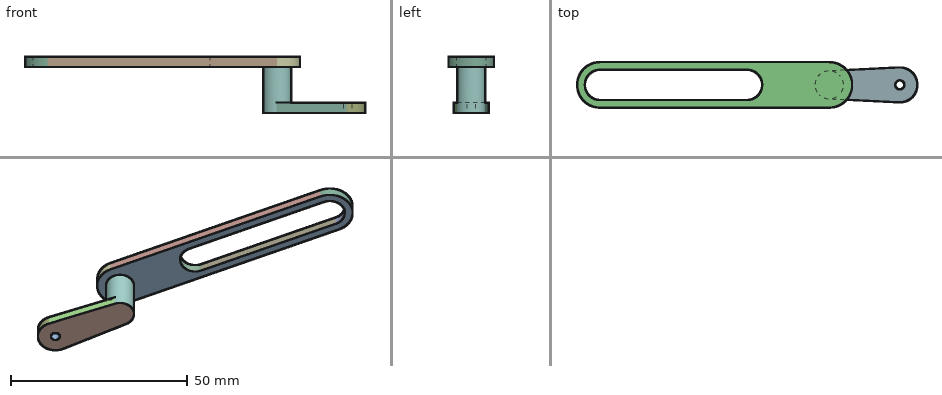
import cadquery as cq
import math

total_height = 16.0
plate_thickness = 3.0
arm_thickness = 3.0

plate_width = 13.0
plate_center_distance = 65.0

slot_width = 8.5
slot_rim = (plate_width - slot_width) / 2
slot_length = 50.2

shaft_diameter = 8.0

arm_center_distance = 20.0
arm_tip_radius = 5.0
arm_hole_diameter = 2.5

plate_bottom = total_height - plate_thickness


def make_plate():
    """Round-ended plate with a round-ended slot near its far end."""
    plate_length = plate_center_distance + plate_width
    plate_center = -plate_center_distance / 2
    slot_center = plate_center - plate_length / 2 + slot_rim + slot_length / 2
    plate_plane = cq.Workplane("XY").workplane(offset=plate_bottom)
    plate = plate_plane.center(plate_center, 0).slot2D(plate_length, plate_width).extrude(plate_thickness)
    slot = plate_plane.center(slot_center, 0).slot2D(slot_length, slot_width).extrude(plate_thickness)
    return plate.cut(slot)


def make_shaft():
    """Cylinder from the arm's underside up to the plate."""
    return cq.Workplane("XY").circle(shaft_diameter / 2).extrude(plate_bottom)


def make_arm():
    """Arm whose straight sides are tangent to both the shaft and the rounded tip."""
    shaft_radius = shaft_diameter / 2
    taper = math.asin((arm_tip_radius - shaft_radius) / arm_center_distance)
    normal_x = -math.sin(taper)
    normal_y = math.cos(taper)
    root_x = shaft_radius * normal_x
    root_y = shaft_radius * normal_y
    tip_x = arm_center_distance + arm_tip_radius * normal_x
    tip_y = arm_tip_radius * normal_y
    body = (
        cq.Workplane("XY")
        .moveTo(root_x, -root_y)
        .lineTo(tip_x, -tip_y)
        .threePointArc((arm_center_distance + arm_tip_radius, 0), (tip_x, tip_y))
        .lineTo(root_x, root_y)
        .close()
        .extrude(arm_thickness)
    )
    hole = (
        cq.Workplane("XY")
        .center(arm_center_distance, 0)
        .circle(arm_hole_diameter / 2)
        .extrude(arm_thickness)
    )
    return body.cut(hole)


result = make_plate().union(make_shaft()).union(make_arm())